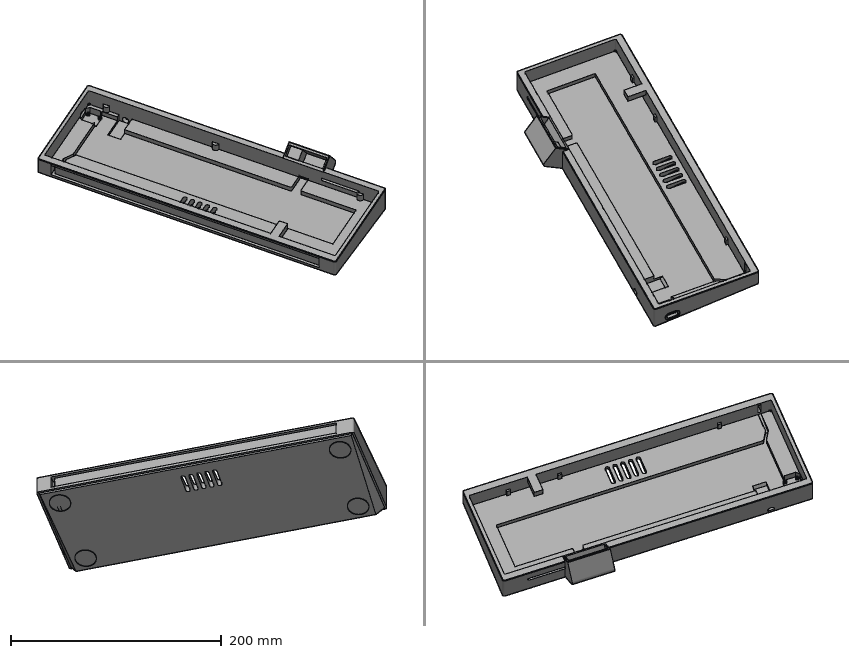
import cadquery as cq
import math


length = 314.8
depth = 110.0
front_height = 18.0
back_height = 26.8
corner_radius = 2.2
rim_chamfer = 0.5
side_wall = 4.0
front_wall = 7.5
back_wall = 7.0
cavity_corner_radius = 1.3
cavity_back = depth - back_wall
cavity_right = length - side_wall

shelf_z = -18.3
pocket_z = -23.3
deep_z = -26.0

base_inset = 2.0
base_end_front = (base_inset, -20.0)
base_end_back = (101.7, -38.0)
base_side_front = 3.0
base_side_back = 8.8

foot_diameter = 20.5
foot_recess = 0.5
feet_front = (18.5, 16.7)
feet_back = (22.5, 88.0)

pocket_left = 20.0
pocket_right = 294.0
pocket_front = 36.8
pocket_back = 87.2
back_ledge = 3.5
back_shelf_left = 49.7
duct_left = 225.7
duct_right = 235.5
duct_under_wall = 4.0
duct_corner_radius = 1.3

trench_left = 36.2
trench_front = 78.5
trench_ramp = 2.5
outlet_diameter = 6.5

channel_left = 14.5
channel_width = 2.8
channel_bend_y = 27.0
groove_left = channel_left
groove_right = 297.0
groove_top = -2.8
groove_bottom = -15.0
groove_depth = 2.8

seat_right = 21.5
seat_front = 81.2
seat_cut = 3.0
pin_diameter = 1.6
pin_height = 3.0
standoff_diameter = 3.5
standoff_height = 1.5
pin_margin = 2.5
port_z = -19.5
port_length = 15.0
port_height = 9.5
port_lip = 2.0
port_recess = 1.0

boss_diameter = 6.5
boss_top = -11.0
back_boss_x = (23.0, 138.2, 290.8)
rib_width = 3.8
rib_depth = 2.0
front_rib_x = (57.0, 219.0, 271.0)
gusset_leg = 2.2
gusset_height = 1.5
tab_left = 242.7
tab_width = 8.8
tab_reach = 26.0
tab_thickness = 7.0
wall_slot_left = 249.5
wall_slot_right = 289.5
wall_slot_height = 3.0
wall_slot_z = -10.7

vent_count = 5
vent_pitch = 8.0
vent_width = 4.0
vent_length = 19.8
vent_middle = (157.0, 22.0)

housing_left = 208.7
housing_width = 43.0
housing_tilt = 35.0
housing_top = (116.8, 9.5)
housing_height = 25.2
housing_edge_radius = 3.95
housing_face_chamfer = 0.5
housing_wall = 2.8
housing_side_wall = 2.0
housing_floor_depth = 20.5
step_width = 12.3
step_depth = 5.0
chute_top_depth = 14.2
chute_reach = 12.0

overlap = 1.5


def box(x0, x1, y0, y1, z0, z1):
    return cq.Workplane("XY").box(x1 - x0, y1 - y0, z1 - z0, centered=False).translate((x0, y0, z0))


def profile_along_x(points, x0, x1):
    return cq.Workplane("YZ").polyline(points).close().extrude(x1 - x0).translate((x0, 0, 0))


def prism_up(points, z0, z1):
    return cq.Workplane("XY").polyline(points).close().extrude(z1 - z0).translate((0, 0, z0))


def shell_bottom(y):
    return -front_height - (back_height - front_height) * y / depth


def loop(side_front, side_back, front, back):
    """Symmetric four-sided wire whose front and back edges run along X."""
    corners = [
        (side_front, *front),
        (length - side_front, *front),
        (length - side_back, *back),
        (side_back, *back),
    ]
    return cq.Wire.makePolygon([cq.Vector(*c) for c in corners], close=True)


side_outline = [(0, 0), (depth, 0), (depth, -back_height), (0, -front_height)]
shell = profile_along_x(side_outline, 0, length)
shell = shell.edges("|Z").fillet(corner_radius)
shell = shell.faces(">Z").edges().chamfer(rim_chamfer)

base_front = (base_inset, shell_bottom(base_inset))
base_back = (depth - base_inset, shell_bottom(depth - base_inset))
base_loops = [
    loop(base_inset, base_inset, base_front, base_back),
    loop(base_side_front, base_side_back, base_end_front, base_end_back),
]
base = cq.Workplane(cq.Solid.makeLoft(base_loops, True))
body = shell.union(base)

cavity = box(side_wall, cavity_right, front_wall, cavity_back, shelf_z, overlap)
body = body.cut(cavity.edges("|Z").fillet(cavity_corner_radius))

tilt = math.radians(housing_tilt)


def housing_point(forward, inward):
    """(y, z) of a point measured from the housing's top edge, along and below its open face."""
    y = housing_top[0] - forward * math.cos(tilt) + inward * math.sin(tilt)
    z = housing_top[1] - forward * math.sin(tilt) - inward * math.cos(tilt)
    return (y, z)


def housing_block(x0, x1, forward0, forward1, inward0, inward1):
    corners = [
        housing_point(forward0, inward0),
        housing_point(forward1, inward0),
        housing_point(forward1, inward1),
        housing_point(forward0, inward1),
    ]
    return profile_along_x(corners, x0, x1)


housing_right = housing_left + housing_width
face_length = (housing_top[0] - cavity_back) / math.cos(tilt)
heel = housing_point(0, housing_height)
housing_outline = [
    housing_top,
    heel,
    (depth, heel[1] - (heel[0] - depth) * math.tan(tilt)),
    (cavity_back, shelf_z),
    housing_point(face_length, 0),
]
housing = profile_along_x(housing_outline, housing_left, housing_right)
housing = housing.edges("|X and >Y").fillet(housing_edge_radius)
face_normal = cq.Vector(0, -math.sin(tilt), math.cos(tilt))
housing = housing.faces(cq.DirectionMinMaxSelector(face_normal)).edges("not <Y").chamfer(housing_face_chamfer)

above_face = housing_block(housing_left, housing_right, -overlap, face_length + overlap, -overlap, 0)
body = body.union(housing).cut(above_face)

bay_left = housing_left + housing_side_wall
bay_right = housing_right - housing_side_wall
bay_front = face_length - housing_wall
bay = housing_block(bay_left, bay_right, housing_wall, bay_front, -overlap, housing_floor_depth)
step = housing_block(
    bay_left, bay_left + step_width, housing_wall, bay_front, step_depth, housing_floor_depth
)
chute = housing_block(
    duct_left, duct_right, bay_front - overlap, bay_front + chute_reach, chute_top_depth, housing_floor_depth
)
body = body.cut(bay.cut(step)).cut(chute)

ledge_y = cavity_back - back_ledge
pocket = box(pocket_left, pocket_right, pocket_front, pocket_back, pocket_z, shelf_z)
duct = box(duct_left, duct_right, pocket_back - overlap, cavity_back + duct_under_wall, pocket_z, shelf_z)
pocket = pocket.union(duct)
for x in (duct_left, duct_right):
    pocket = pocket.edges(cq.selectors.NearestToPointSelector((x, pocket_back, (pocket_z + shelf_z) / 2)))
    pocket = pocket.fillet(duct_corner_radius)
pocket = pocket.union(box(pocket_left, trench_left, pocket_front, ledge_y, pocket_z, shelf_z))
pocket = pocket.union(box(trench_left, back_shelf_left, pocket_front, cavity_back, pocket_z, shelf_z))
body = body.cut(pocket)

trench_profile = [
    (trench_front, pocket_z),
    (trench_front + trench_ramp, deep_z),
    (cavity_back, deep_z),
    (cavity_back, pocket_z),
]
body = body.cut(profile_along_x(trench_profile, trench_left, back_shelf_left))
outlet_x = (trench_left + back_shelf_left) / 2
outlet_z = deep_z + outlet_diameter / 2
outlet = cq.Workplane("XZ").circle(outlet_diameter / 2).extrude(-2 * back_wall)
body = body.cut(outlet.translate((outlet_x, cavity_back - overlap, outlet_z)))

body = body.cut(box(groove_left, groove_right, -overlap, groove_depth, groove_bottom, groove_top))

channel_right = channel_left + channel_width
channel_bend = [
    (pocket_left, pocket_front),
    (channel_left, channel_bend_y),
    (channel_right, channel_bend_y),
    (pocket_left + channel_width, pocket_front),
]
body = body.cut(prism_up(channel_bend, pocket_z, shelf_z))
channel_ramp = [
    (channel_bend_y, pocket_z),
    (channel_bend_y, shelf_z),
    (front_wall, shelf_z),
]
body = body.cut(profile_along_x(channel_ramp, channel_left, channel_right))
body = body.cut(box(channel_left, channel_right, 0, front_wall, groove_bottom, groove_top))

seat = box(side_wall, seat_right, seat_front, ledge_y, deep_z, shelf_z).edges("|Z").chamfer(seat_cut)
body = body.cut(seat)
pin_spots = [
    (x, y)
    for x in (side_wall + pin_margin, seat_right - pin_margin)
    for y in (seat_front + pin_margin, ledge_y - pin_margin)
]
for diameter, height in ((standoff_diameter, standoff_height), (pin_diameter, pin_height)):
    posts = cq.Workplane("XY").pushPoints(pin_spots).circle(diameter / 2).extrude(height + overlap)
    body = body.union(posts.translate((0, 0, deep_z - overlap)))


def port_slot(slot_length, slot_height, reach):
    port_y = (seat_front + ledge_y) / 2
    slot = cq.Workplane("YZ").slot2D(slot_length, slot_height).extrude(reach + overlap)
    return slot.translate((-overlap, port_y, port_z))


body = body.cut(port_slot(port_length, port_height, port_recess))
body = body.cut(port_slot(port_length - 2 * port_lip, port_height - 2 * port_lip, side_wall + overlap))

boss_spots = [(x, cavity_back) for x in back_boss_x]
bosses = cq.Workplane("XY").pushPoints(boss_spots).circle(boss_diameter / 2).extrude(boss_top - shelf_z)
wall_side = box(0, length, ledge_y - overlap, cavity_back + overlap, shelf_z, 0)
body = body.union(bosses.translate((0, 0, shelf_z)).intersect(wall_side))

for x in front_rib_x:
    rib_left = x - rib_width / 2
    rib = box(rib_left, rib_left + rib_width, front_wall - overlap, front_wall + rib_depth, shelf_z, boss_top)
    body = body.union(rib)

for corner_x, toward_x in ((side_wall, 1), (cavity_right, -1)):
    for corner_y, toward_y in ((front_wall, 1), (cavity_back, -1)):
        gusset = [
            (corner_x, corner_y),
            (corner_x + toward_x * gusset_leg, corner_y),
            (corner_x, corner_y + toward_y * gusset_leg),
        ]
        body = body.union(prism_up(gusset, shelf_z, shelf_z + gusset_height))

body = body.union(
    box(tab_left, tab_left + tab_width, front_wall - overlap, tab_reach, -tab_thickness, 0)
)

wall_slot = cq.Workplane("XZ").slot2D(wall_slot_right - wall_slot_left, wall_slot_height).extrude(-back_wall)
wall_slot_x = (wall_slot_left + wall_slot_right) / 2
body = body.cut(wall_slot.translate((wall_slot_x, cavity_back, wall_slot_z)))

vents = (
    cq.Workplane("XY")
    .rarray(vent_pitch, 3, vent_count, 1)
    .slot2D(vent_length, vent_width, 90)
    .extrude(base_end_back[1])
)
body = body.cut(vents.translate((*vent_middle, shelf_z + overlap)))

under_run = base_end_back[0] - base_end_front[0]
under_slope = (base_end_back[1] - base_end_front[1]) / under_run
under_angle = math.degrees(math.atan(under_slope))
for inset, y in (feet_front, feet_back):
    under_z = base_end_front[1] + (y - base_end_front[0]) * under_slope
    for x in (inset, length - inset):
        recess = cq.Workplane("XY").circle(foot_diameter / 2).extrude(2 * foot_recess)
        recess = recess.translate((0, 0, -foot_recess)).rotate((0, 0, 0), (1, 0, 0), under_angle)
        body = body.cut(recess.translate((x, y, under_z)))

result = body